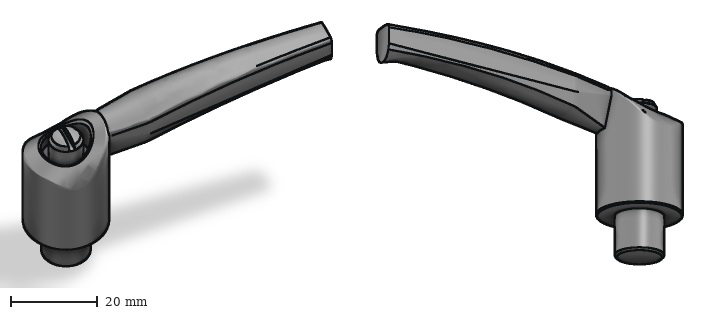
import cadquery as cq


hub_diameter = 20.0
hub_radius = hub_diameter / 2
hub_height = 33.75
saddle_arch_radius = 11.25
saddle_margin = 0.4
saddle_crest = [
    (-11.25, 21.8),
    (-6.4, 24.3),
    (0.0, 26.0),
    (6.4, 28.5),
    (11.25, 30.0),
]
saddle_edge_radius = 0.75
base_edge_chamfer = 0.3

bore_diameter = 11.5
bore_rim_diameter = 12.75
bore_rim_width = (bore_rim_diameter - bore_diameter) / 2

arm_length = 75 - hub_radius
knee_y = 18.3
root_y = 7.5
tip_half_width = 3.45
knee_half_width = 5.55
root_half_width = 4.0
neck_y = 9.75
neck_half_width = 4.4
top_bevel_width = 0.8
top_bevel_bulge = 0.11
lower_flank_slope = 0.3
knee_round = 6.0
knee_pick = 0.1

stud_length = 10.0
stud_chamfer = 0.5
shoulder_z = 20.6
head_diameter = 8.0
head_top_diameter = 6.7
head_bevel_start_z = 26.25
head_bevel_end_z = 27.4
head_top_z = 28.05
slot_width = 1.4
slot_floor_z = 26.25


def saddle_section(y, crest_z):
    """Arch-topped slice of the space kept below the saddle."""
    half_width = hub_radius + saddle_margin
    side_z = crest_z - saddle_arch_radius + (saddle_arch_radius**2 - half_width**2) ** 0.5
    return (
        cq.Workplane("XZ", origin=(0, y, 0))
        .moveTo(-half_width, -saddle_margin)
        .lineTo(-half_width, side_z)
        .threePointArc((0, crest_z), (half_width, side_z))
        .lineTo(half_width, -saddle_margin)
        .close()
        .val()
    )


def make_hub():
    sections = [saddle_section(y, z) for y, z in saddle_crest]
    below_saddle = cq.Solid.makeLoft(sections)
    blank = cq.Workplane("XY").circle(hub_radius).extrude(hub_height)
    hub = blank.intersect(cq.Workplane(obj=below_saddle))
    hub = hub.faces("<Z").edges().chamfer(base_edge_chamfer)
    return hub.faces(">Z").edges().fillet(saddle_edge_radius)


def arm_section(y, half_width, heights):
    """Eight-edged arm section; heights run from the keel up to the crown."""
    keel_z, bottom_edge_z, widest_z, bevel_z, top_edge_z, crown_z = heights
    bottom_half = half_width - lower_flank_slope * (widest_z - bottom_edge_z)
    top_half = half_width - top_bevel_width
    bevel_mid_half = (half_width + top_half) / 2 + top_bevel_bulge
    bevel_mid_z = (bevel_z + top_edge_z) / 2 + top_bevel_bulge
    return (
        cq.Workplane("XZ", origin=(0, y, 0))
        .moveTo(-bottom_half, bottom_edge_z)
        .lineTo(-half_width, widest_z)
        .lineTo(-half_width, bevel_z)
        .threePointArc((-bevel_mid_half, bevel_mid_z), (-top_half, top_edge_z))
        .threePointArc((0, crown_z), (top_half, top_edge_z))
        .threePointArc((bevel_mid_half, bevel_mid_z), (half_width, bevel_z))
        .lineTo(half_width, widest_z)
        .lineTo(bottom_half, bottom_edge_z)
        .threePointArc((0, keel_z), (-bottom_half, bottom_edge_z))
        .close()
        .val()
    )


def outer_half_width(y):
    """Half width of the arm, tapering evenly from the knee to the tip."""
    taper = (knee_half_width - tip_half_width) / (arm_length - knee_y)
    return knee_half_width - taper * (y - knee_y)


def make_arm():
    knee = (22.5, 22.65, 25.95, 29.7, 30.7, 31.6)
    outer_heights = [
        (knee_y, knee),
        (37.05, (27.15, 27.3, 28.35, 33.4, 34.4, 35.2)),
        (56.25, (29.8, 29.9, 30.8, 35.4, 36.4, 36.6)),
        (arm_length, (28.35, 30.5, 31.9, 35.8, 36.8, 37.0)),
    ]
    root = (18.15, 18.3, 26.85, 27.15, 28.05, 28.7)
    neck = (19.3, 19.4, 26.7, 27.9, 29.0, 29.7)
    outer = cq.Solid.makeLoft([arm_section(y, outer_half_width(y), h) for y, h in outer_heights])
    inner = cq.Solid.makeLoft(
        [
            arm_section(root_y, root_half_width, root),
            arm_section(neck_y, neck_half_width, neck),
            arm_section(knee_y, knee_half_width, knee),
        ],
        ruled=True,
    )
    arm = cq.Workplane(obj=outer).union(cq.Workplane(obj=inner))
    bottom_edge_z, bevel_z = knee[1], knee[3]
    knee_flanks = cq.selectors.BoxSelector(
        (-hub_radius, knee_y - knee_pick, bottom_edge_z), (hub_radius, knee_y + knee_pick, bevel_z)
    )
    return arm.edges(knee_flanks).fillet(knee_round)


def make_lever():
    """Hub and arm in one piece, with a through bore whose rim is bevelled along the saddle."""
    bore = cq.Workplane("XY").circle(bore_diameter / 2).extrude(hub_height)
    hub = make_hub().cut(bore)
    rim_zone = cq.selectors.BoxSelector(
        (-bore_diameter, -bore_diameter, shoulder_z), (bore_diameter, bore_diameter, hub_height)
    )
    hub = hub.edges(rim_zone).edges(cq.selectors.LengthNthSelector(0)).chamfer(bore_rim_width)
    return hub.union(make_arm())


def make_insert():
    body = (
        cq.Workplane("XY", origin=(0, 0, -stud_length))
        .circle(bore_diameter / 2)
        .extrude(stud_length + shoulder_z)
        .faces("<Z")
        .edges()
        .chamfer(stud_chamfer)
    )
    dome_mid_z = head_top_z - (head_top_z - head_bevel_end_z) / 4
    head = (
        cq.Workplane("XZ")
        .moveTo(0, shoulder_z)
        .lineTo(head_diameter / 2, shoulder_z)
        .lineTo(head_diameter / 2, head_bevel_start_z)
        .lineTo(head_top_diameter / 2, head_bevel_end_z)
        .threePointArc((head_top_diameter / 4, dome_mid_z), (0, head_top_z))
        .close()
        .revolve(360, (0, 0, 0), (0, 1, 0))
    )
    slot = cq.Workplane("XY", origin=(0, 0, slot_floor_z)).rect(head_diameter, slot_width).extrude(head_top_z)
    return body.union(head).cut(slot)


lever = make_lever()
insert = make_insert()

result = cq.Compound.makeCompound([lever.val(), insert.val()])